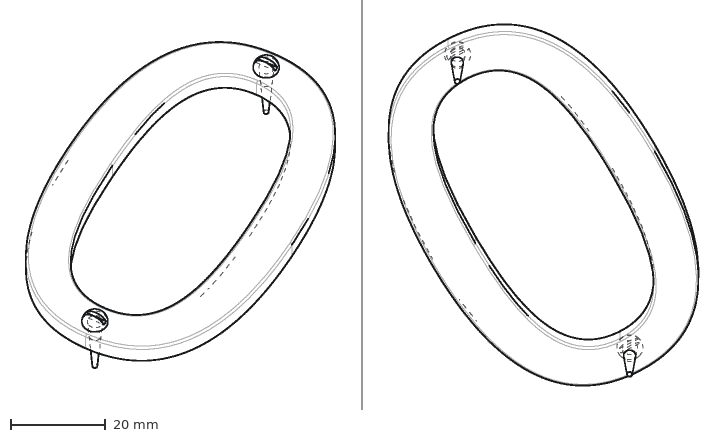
import cadquery as cq
import math

PLATE_THICKNESS = 5.0
EDGE_ROUNDING = 0.5
OUTER_HALF_WIDTH = 53.44 / 2
OUTER_HALF_HEIGHT = 83.69 / 2
INNER_HALF_WIDTH = 16.35
INNER_HALF_HEIGHT = 33.4

OUTER_SIDE_FULLNESS = 0.615
OUTER_END_FULLNESS = 0.708
INNER_SIDE_FULLNESS = 0.575
INNER_END_FULLNESS = 0.813

SCREW_OFFSET = 37.7
SCREW_POSITIONS = (SCREW_OFFSET, -SCREW_OFFSET)
HEAD_RADIUS = 2.75
HEAD_HEIGHT = 2.55
SLOT_WIDTH = 1.0
SLOT_DEPTH = 1.5
SHANK_TOP_RADIUS = 1.6
SHANK_TIP_RADIUS = 0.55
OVERALL_HEIGHT = 18.41

DOME_RADIUS = (HEAD_RADIUS**2 + HEAD_HEIGHT**2) / (2 * HEAD_HEIGHT)
DOME_CENTRE = HEAD_HEIGHT - DOME_RADIUS
HEAD_PEAK = DOME_CENTRE + math.sqrt(DOME_RADIUS**2 - (SLOT_WIDTH / 2) ** 2)
SHANK_LENGTH = OVERALL_HEIGHT - HEAD_PEAK


def zero_outline(half_width, half_height, side_fullness, end_fullness):
    """Closed oval of four mirrored cubic Bezier quarters."""
    side_reach = half_height * side_fullness
    end_reach = half_width * end_fullness
    right_to_top = [
        (half_width, 0),
        (half_width, side_reach),
        (end_reach, half_height),
        (0, half_height),
    ]
    top_to_left = [(-x, y) for x, y in reversed(right_to_top)]
    left_to_bottom = [(-x, -y) for x, y in right_to_top]
    bottom_to_right = [(x, -y) for x, y in reversed(right_to_top)]
    outline = cq.Workplane("XY")
    for quarter in (right_to_top, top_to_left, left_to_bottom, bottom_to_right):
        outline = outline.bezier(quarter)
    return outline.wire()


def screw_blank(y):
    """Unslotted screw with its head seated on the plate's top face."""
    profile = (
        cq.Workplane("XZ")
        .moveTo(0, -SHANK_LENGTH)
        .lineTo(SHANK_TIP_RADIUS, -SHANK_LENGTH)
        .lineTo(SHANK_TOP_RADIUS, 0)
        .lineTo(HEAD_RADIUS, 0)
        .radiusArc((0, HEAD_HEIGHT), -DOME_RADIUS)
        .close()
    )
    return profile.revolve(360, (0, 0, 0), (0, 1, 0)).translate((0, y, PLATE_THICKNESS))


def slotted_screw(y):
    """Screw with a driver slot running along X across the whole head."""
    slot_floor = PLATE_THICKNESS + HEAD_PEAK - SLOT_DEPTH
    slot = (
        cq.Workplane("XY", origin=(0, y, slot_floor))
        .rect(2 * HEAD_RADIUS, SLOT_WIDTH)
        .extrude(HEAD_RADIUS)
    )
    return screw_blank(y).cut(slot)


def zero_plate():
    """Ring with rounded edges on both faces and a matching hole for each screw shank."""
    outer = zero_outline(
        OUTER_HALF_WIDTH, OUTER_HALF_HEIGHT, OUTER_SIDE_FULLNESS, OUTER_END_FULLNESS
    ).extrude(PLATE_THICKNESS)
    opening = zero_outline(
        INNER_HALF_WIDTH, INNER_HALF_HEIGHT, INNER_SIDE_FULLNESS, INNER_END_FULLNESS
    ).extrude(PLATE_THICKNESS)
    ring = outer.cut(opening).faces("<Z or >Z").edges().fillet(EDGE_ROUNDING)
    for y in SCREW_POSITIONS:
        ring = ring.cut(screw_blank(y))
    return ring


plate = zero_plate()
screws = [slotted_screw(y) for y in SCREW_POSITIONS]

result = cq.Compound.makeCompound([plate.val(), *[screw.val() for screw in screws]])